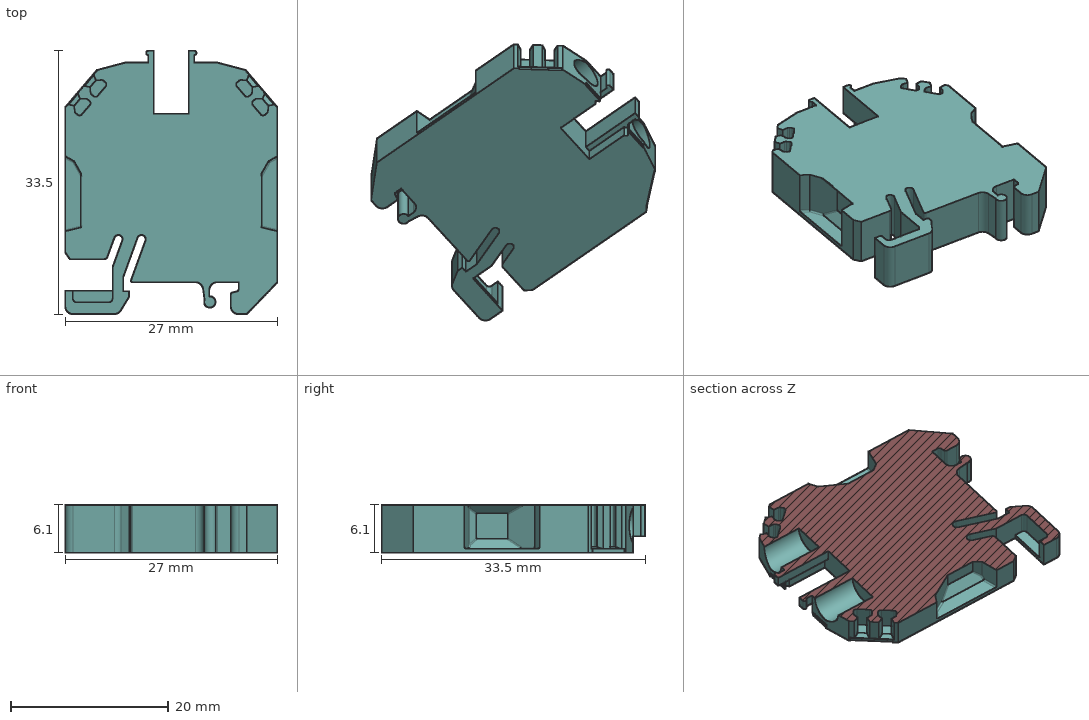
import cadquery as cq
import math

LENGTH = 27.0
HEIGHT = 33.5
THICKNESS = 6.1
CENTRE_X = LENGTH / 2
FLOOR = 0.55
OVERCUT = 1.0

SHOULDER_Y = 32.0
ROOF_START_X = 7.65
BEVEL_TOP = (4.05, 31.05)
BEVEL_BOTTOM = (0.0, 26.3)

SLOT_HALF = 2.2
SLOT_FLOOR_Y = 25.5
TOWER_HALF = 2.93
TOWER_BOTTOM_Z = 2.1
HOOK_RADIUS = 0.28
HOOK_Y = HEIGHT - HOOK_RADIUS

RELIEF_HEIGHT = 0.5
RELIEF_DEPTH = 0.1
BEVEL_RELIEF_START = 0.7
BEVEL_RELIEF_END = 6.1

MARKER_PLACES = (1.47, 4.58)
MOUTH_HALF = 0.97
WAIST_HALF = 0.57
WAIST_DEPTH = 0.75
MARKER_HALF = 1.16
MARKER_SHOULDER = 1.35
MARKER_DEPTH = 2.2
MARKER_ROUND = 0.35
MARKER_FLOOR = 0.76

HOLE_DIAMETER = 4.2
HOLE_X = 7.85
HOLE_Z = 3.5
HOLE_DEPTH = 6.0

FUNNEL_DEPTH = 3.05
FUNNEL_LIP = 2.0
FUNNEL_CORNER = (2.4, 11.12)
FUNNEL_KINK = (1.14, 19.45)
FUNNEL_BACK_LOW_Y = 12.05
FUNNEL_BACK_HIGH_Y = 16.05
FUNNEL_OUTER_LOW_Y = 10.3
FUNNEL_OUTER_HIGH_Y = 20.65
FUNNEL_LOW_Z = 1.8
FUNNEL_HIGH_Z = 5.05
FUNNEL_ROUND = 0.2

BASE_Y = 4.05
LEDGE_Y = 6.98
SLIT_HALF = 0.52
SLIT_TIP_Y = 10.05
SLIT_TILT = math.radians(20)
SECOND_SLIT_X = 8.27
SLIT_MOUTH_ROUND = 0.2
LEDGE_CHAMFER_X = 0.6
LEDGE_CHAMFER_Y = 0.87
LEDGE_ROUND = 0.5
SPRING_LEFT = 6.03
SPRING_RIGHT = 7.4
SPRING_BEND_Y = 6.0
FOOT_TOP = 3.0
FOOT_ROUND = 1.0
FOOT_HEEL_X = 6.8
CATCH_X = 8.15
CATCH_LOW_Y = 2.2
CATCH_TOP_Y = 2.92
FOOT_POCKET_LEFT = 0.98
FOOT_POCKET_Y = 1.5
FOOT_POCKET_ROUND = 0.5
BALL_CENTRE = (18.4, 1.55)
BALL_RADIUS = 0.73
NECK_ROUND = 1.0
NECK_TOP_LEFT = 17.42
NECK_LOW_LEFT = 17.75
NECK_RIGHT = 18.35
FIXED_FOOT_LEFT = 21.05
FIXED_FOOT_RIGHT = 23.1
UNDERCUT_X = 22.05
UNDERCUT_BACK_Y = 2.95
UNDERCUT_FRONT_Y = 2.72
UNDERCUT_ROUND = 0.3


def rounded_outline(corners):
    """Closed wire through (x, y, radius) corners, each rounded by its radius."""
    pieces = []
    for i, (x, y, radius) in enumerate(corners):
        corner = cq.Vector(x, y)
        before = (cq.Vector(*corners[i - 1][:2]) - corner).normalized()
        after = (cq.Vector(*corners[(i + 1) % len(corners)][:2]) - corner).normalized()
        half_angle = before.getAngle(after) / 2
        setback = radius / math.tan(half_angle)
        bisector = (before + after).normalized()
        middle = corner + bisector * (radius / math.sin(half_angle) - radius)
        pieces.append((corner + before * setback, middle, corner + after * setback, radius))

    edges = []
    for i, (start, middle, end, radius) in enumerate(pieces):
        previous_end = pieces[i - 1][2]
        if (start - previous_end).Length > 1e-6:
            edges.append(cq.Edge.makeLine(previous_end, start))
        if radius > 0:
            edges.append(cq.Edge.makeThreePointArc(start, middle, end))
    return cq.Wire.assembleEdges(edges)


def prism(corners, bottom, top):
    face = cq.Face.makeFromWires(rounded_outline(corners))
    solid = cq.Solid.extrudeLinear(face, cq.Vector(0, 0, top - bottom))
    return cq.Workplane(obj=solid.moved(cq.Location(cq.Vector(0, 0, bottom))))


def sharp(points):
    return [(x, y, 0) for x, y in points]


def block(x0, x1, y0, y1, z0, z1):
    return prism(sharp([(x0, y0), (x1, y0), (x1, y1), (x0, y1)]), z0, z1)


def mirrored(shape):
    """The shape together with its mirror image across the centre plane."""
    return shape.union(shape.mirror("YZ", (CENTRE_X, 0, 0)))


def slit_corners(right_x, right_y):
    """Left and right tip corners of a slit whose right side passes through the given point."""
    across = cq.Vector(-math.cos(SLIT_TILT), math.sin(SLIT_TILT))
    along = cq.Vector(math.sin(SLIT_TILT), math.cos(SLIT_TILT))
    base = cq.Vector(right_x, right_y)
    tip_centre_y = SLIT_TIP_Y - SLIT_HALF
    run = (tip_centre_y - right_y - across.y * SLIT_HALF) / along.y
    right_tip = base + along * (run + SLIT_HALF)
    left_tip = right_tip + across * (2 * SLIT_HALF)
    return (left_tip.x, left_tip.y, SLIT_HALF), (right_tip.x, right_tip.y, SLIT_HALF)


def make_body():
    first_left, first_right = slit_corners(SPRING_LEFT, SPRING_BEND_Y)
    lean = math.tan(SLIT_TILT)
    second_left, second_right = slit_corners(SECOND_SLIT_X, BASE_Y)
    ledge_end_x = first_left[0] - (first_left[1] - LEDGE_Y) * lean
    spring_right_bend_y = second_left[1] - (second_left[0] - SPRING_RIGHT) / lean

    ledge = [
        (0, LEDGE_Y + LEDGE_CHAMFER_Y, 0),
        (LEDGE_CHAMFER_X, LEDGE_Y, 0),
        (ledge_end_x, LEDGE_Y, LEDGE_ROUND),
    ]
    spring_inside = [first_left, first_right, (SPRING_LEFT, SPRING_BEND_Y, 0)]
    foot = [
        (SPRING_LEFT, FOOT_TOP, 0),
        (0, FOOT_TOP, 0),
        (0, 0, FOOT_ROUND),
        (FOOT_HEEL_X, 0, FOOT_ROUND),
        (CATCH_X, CATCH_LOW_Y, 0),
        (CATCH_X, CATCH_TOP_Y, 0),
        (SPRING_RIGHT, CATCH_TOP_Y, 0),
    ]
    spring_outside = [(SPRING_RIGHT, spring_right_bend_y, 0), second_left, second_right]
    ball_neck = [
        (SECOND_SLIT_X, BASE_Y, SLIT_MOUTH_ROUND),
        (NECK_TOP_LEFT, BASE_Y, NECK_ROUND),
        (NECK_LOW_LEFT, BALL_CENTRE[1], 0),
        (NECK_RIGHT, BALL_CENTRE[1], 0),
        (NECK_RIGHT, BASE_Y, NECK_ROUND),
    ]
    fixed_foot = [
        (UNDERCUT_X, BASE_Y, 0),
        (UNDERCUT_X, UNDERCUT_BACK_Y, UNDERCUT_ROUND),
        (FIXED_FOOT_LEFT, UNDERCUT_FRONT_Y, UNDERCUT_ROUND),
        (FIXED_FOOT_LEFT, 0, FOOT_ROUND),
        (FIXED_FOOT_RIGHT, 0, 0),
        (LENGTH, BASE_Y, 0),
    ]
    roof_left = [(ROOF_START_X, SHOULDER_Y), BEVEL_TOP, BEVEL_BOTTOM]
    roof_right = [(LENGTH - x, y) for x, y in reversed(roof_left)]

    outline = ledge + spring_inside + foot + spring_outside + ball_neck + fixed_foot
    outline += sharp(roof_right + roof_left)
    ball = cq.Workplane().center(*BALL_CENTRE).circle(BALL_RADIUS).extrude(THICKNESS)
    return prism(outline, 0, THICKNESS).union(ball)


def make_towers():
    hook_x = CENTRE_X - TOWER_HALF
    tower = block(hook_x, CENTRE_X - SLOT_HALF, SLOT_FLOOR_Y, HEIGHT, TOWER_BOTTOM_Z, THICKNESS)
    hook = cq.Workplane(origin=(hook_x, HOOK_Y, TOWER_BOTTOM_Z)).circle(HOOK_RADIUS)
    return mirrored(tower.union(hook.extrude(THICKNESS - TOWER_BOTTOM_Z)))


def make_slot():
    """Central slot; under the towers it is wide enough for towers, with grooves for their hooks."""
    top_y = HEIGHT + OVERCUT
    left = CENTRE_X - SLOT_HALF
    wide_left = CENTRE_X - TOWER_HALF
    slot = block(left, LENGTH - left, SLOT_FLOOR_Y, top_y, -OVERCUT, THICKNESS + OVERCUT)
    wide = block(wide_left, LENGTH - wide_left, SLOT_FLOOR_Y, top_y, -OVERCUT, TOWER_BOTTOM_Z)
    groove_y = SHOULDER_Y - 2 * HOOK_RADIUS
    groove = cq.Workplane(origin=(wide_left, groove_y, -OVERCUT)).circle(HOOK_RADIUS)
    return slot.union(wide).union(mirrored(groove.extrude(TOWER_BOTTOM_Z + OVERCUT)))


def on_bevel(shape):
    """Moves a shape drawn with X along the bevel and -Y into the part onto the left bevel."""
    rise = BEVEL_TOP[1] - BEVEL_BOTTOM[1]
    angle = math.degrees(math.atan2(rise, BEVEL_TOP[0] - BEVEL_BOTTOM[0]))
    return shape.rotate((0, 0, 0), (0, 0, 1), angle).translate((*BEVEL_BOTTOM, 0))


def make_marker_groove(place):
    top = THICKNESS + OVERCUT
    cavity_corners = [
        (place - WAIST_HALF, -WAIST_DEPTH, 0),
        (place - MARKER_HALF, -MARKER_SHOULDER, MARKER_ROUND),
        (place - MARKER_HALF, -MARKER_DEPTH, MARKER_ROUND),
        (place + MARKER_HALF, -MARKER_DEPTH, MARKER_ROUND),
        (place + MARKER_HALF, -MARKER_SHOULDER, MARKER_ROUND),
        (place + WAIST_HALF, -WAIST_DEPTH, 0),
    ]
    cavity = prism(cavity_corners, MARKER_FLOOR, top)
    flare = (MOUTH_HALF - WAIST_HALF) / WAIST_DEPTH
    outer_half = MOUTH_HALF + flare * OVERCUT
    mouth_corners = [
        (place - WAIST_HALF, -WAIST_DEPTH),
        (place + WAIST_HALF, -WAIST_DEPTH),
        (place + outer_half, OVERCUT),
        (place - outer_half, OVERCUT),
    ]
    fall = (MARKER_FLOOR - RELIEF_HEIGHT) / WAIST_DEPTH
    sloped_floor = [
        (-WAIST_DEPTH, MARKER_FLOOR),
        (OVERCUT, RELIEF_HEIGHT - fall * OVERCUT),
        (OVERCUT, top),
        (-WAIST_DEPTH, top),
    ]
    floor_limit = cq.Workplane("YZ").polyline(sloped_floor).close().extrude(LENGTH)
    mouth = prism(sharp(mouth_corners), 0, top).intersect(floor_limit)
    return on_bevel(cavity.union(mouth))


def make_bottom_relief():
    start, end = BEVEL_RELIEF_START, BEVEL_RELIEF_END
    bevel = on_bevel(block(start, end, -RELIEF_DEPTH, OVERCUT, -OVERCUT, RELIEF_HEIGHT))
    shoulder_y = SHOULDER_Y - RELIEF_DEPTH
    top_y = SHOULDER_Y + OVERCUT
    shoulder = block(ROOF_START_X, CENTRE_X, shoulder_y, top_y, -OVERCUT, RELIEF_HEIGHT)
    return mirrored(bevel.union(shoulder))


def make_screw_holes():
    start = cq.Workplane("XZ", origin=(HOLE_X, SHOULDER_Y, HOLE_Z))
    return mirrored(start.circle(HOLE_DIAMETER / 2).extrude(HOLE_DEPTH))


def make_funnels():
    plan = [
        (-OVERCUT, FUNNEL_OUTER_HIGH_Y),
        FUNNEL_KINK,
        (FUNNEL_DEPTH, FUNNEL_BACK_HIGH_Y),
        (FUNNEL_DEPTH, FUNNEL_BACK_LOW_Y),
        FUNNEL_CORNER,
        (-OVERCUT, FUNNEL_OUTER_LOW_Y),
    ]
    section = [
        (-OVERCUT, FLOOR),
        (FUNNEL_LIP, FLOOR),
        (FUNNEL_DEPTH, FUNNEL_LOW_Z),
        (FUNNEL_DEPTH, FUNNEL_HIGH_Z),
        (FUNNEL_LIP, THICKNESS),
        (FUNNEL_LIP, THICKNESS + OVERCUT),
        (-OVERCUT, THICKNESS + OVERCUT),
    ]
    envelope = cq.Workplane("XZ").polyline(section).close().extrude(-HEIGHT)
    funnel = prism(sharp(plan), 0, THICKNESS + OVERCUT).intersect(envelope)
    corner = cq.selectors.NearestToPointSelector((*FUNNEL_CORNER, THICKNESS / 2))
    wall_edges = funnel.edges("not(|Y or |Z or >Z)")
    rounded = wall_edges.add(funnel.edges("|Z").edges(corner)).fillet(FUNNEL_ROUND)
    return mirrored(rounded)


def make_foot_pocket():
    corners = [
        (FOOT_POCKET_LEFT, FOOT_POCKET_Y, FOOT_POCKET_ROUND),
        (SPRING_LEFT, FOOT_POCKET_Y, FOOT_POCKET_ROUND),
        (SPRING_LEFT, FOOT_TOP + OVERCUT, 0),
        (FOOT_POCKET_LEFT, FOOT_TOP + OVERCUT, 0),
    ]
    return prism(corners, FLOOR, THICKNESS + OVERCUT)


result = make_body().union(make_towers())
result = result.cut(make_slot())
for marker_place in MARKER_PLACES:
    result = result.cut(mirrored(make_marker_groove(marker_place)))
result = result.cut(make_bottom_relief())
result = result.cut(make_screw_holes())
result = result.cut(make_funnels())
result = result.cut(make_foot_pocket())